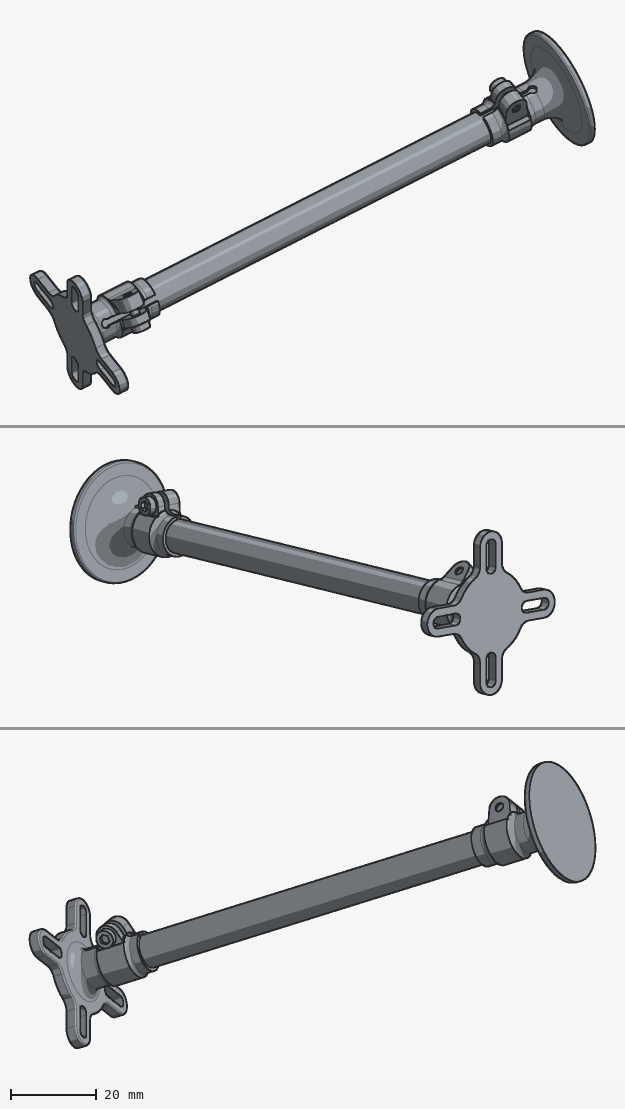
import cadquery as cq
import math

LENGTH = 134.5

TUBE_RADIUS = 4.0
SLEEVE_RADIUS = 4.8
SLIT_HOLE_RADIUS = 1.1
BORE_MARGIN = 0.3

FLANGE_RADIUS = 14.5
FLANGE_THICKNESS = 1.5
FLANGE_ROUND = 0.4
FLANGE_FLARE = 6.3
FLANGE_SLEEVE_END = 22.0
FLANGE_SLIT_START = 8.1
FLANGE_SLIT_WIDTH = 1.2
FLANGE_BAND_CENTER = 14.9
FLANGE_BAND_HALF = 3.1
FLANGE_BAND_RADIUS = 5.6
FLANGE_BAND_BLEND = 1.6
FLANGE_TIP_FACE = 3.9
FLANGE_TIP_FLOOR = 1.9
FLANGE_HEAD_FACE = 2.7

PLATE_SPAN = 39.0
PLATE_THICKNESS = 2.5
PLATE_HUB_RADIUS = 10.2
PLATE_HUB_FILLET = 2.8
PLATE_EDGE_ROUND = 0.4
ARM_WIDTH = 6.7
ARM_COUNT = 4
SLOT_WIDTH = 2.8
SLOT_INNER_END = 9.4
SLOT_OUTER_END = 17.6
PLATE_FLARE = 2.4
PLATE_SLEEVE_END = 20.5
PLATE_SLIT_START = 6.5
PLATE_SLIT_WIDTH = 1.6
PLATE_BAND_CENTER = 13.5
PLATE_BAND_HALF = 3.8
PLATE_BAND_RADIUS = 5.5
PLATE_BAND_BLEND = 1.1
PLATE_TIP_FACE = 4.3
PLATE_TIP_FILLET = 2.7
PLATE_HEAD_FACE = 3.0
PLATE_CLAMP_ANGLE = 45.0

EAR_RADIUS = 2.8
EAR_CENTER = 6.6
EAR_BASE = 2.7
HEAD_FLOOR = 4.3
SCREW_RADIUS = 1.1
SCREW_TIP_RECESS = 0.5
HEAD_RADIUS = 2.2
HEAD_HEIGHT = 1.7
SOCKET_SIDES = 6
SOCKET_FLATS = 2.2
SOCKET_DEPTH = 1.0

EAR_TOP = EAR_CENTER + EAR_RADIUS
MARGIN = 0.1
CLEAR = 2.7
CUT_REACH = FLANGE_BAND_RADIUS + CLEAR

FLANGE_PLACE = cq.Location(cq.Plane(origin=(0, LENGTH, 0), xDir=(1, 0, 0), normal=(0, -1, 0)))
PLATE_PLACE = cq.Location(cq.Plane(origin=(0, 0, 0), xDir=(-1, 0, 1), normal=(0, 1, 0)))


def revolved(profile):
    """Turn a closed XZ profile around the Z axis."""
    return profile.close().revolve(360, (0, 0, 0), (0, 1, 0))


def flared_sleeve(base, flare, end):
    """Solid sleeve whose foot opens in a quarter round onto the mounting plate."""
    mid = flare * (1 - math.sqrt(0.5))
    return revolved(
        cq.Workplane("XZ")
        .lineTo(SLEEVE_RADIUS + flare, 0)
        .lineTo(SLEEVE_RADIUS + flare, base)
        .threePointArc((SLEEVE_RADIUS + mid, base + mid), (SLEEVE_RADIUS, base + flare))
        .lineTo(SLEEVE_RADIUS, end)
        .lineTo(0, end)
    )


def clamp_band(band_radius, center, half, blend):
    """Thicker ring around the sleeve, blended into it by a hollow arc at both ends."""
    rise = band_radius - SLEEVE_RADIUS
    hollow = (blend**2 + rise**2) / (2 * rise)
    return revolved(
        cq.Workplane("XZ")
        .moveTo(0, center - half - blend)
        .lineTo(SLEEVE_RADIUS, center - half - blend)
        .radiusArc((band_radius, center - half), hollow)
        .lineTo(band_radius, center + half)
        .radiusArc((SLEEVE_RADIUS, center + half + blend), hollow)
        .lineTo(0, center + half + blend)
    )


def ears(center, half, head_face, tip_reach):
    """Round-topped block across the slit, its sides tangent to the top and spreading to the band."""
    drop = EAR_CENTER - EAR_BASE
    angle = math.acos(EAR_RADIUS / math.hypot(half, drop)) - math.atan2(drop, half)
    side = EAR_RADIUS * math.cos(angle)
    side_height = EAR_CENTER + EAR_RADIUS * math.sin(angle)
    return (
        cq.Workplane("YZ", origin=(-head_face, 0, center))
        .moveTo(EAR_BASE, -half)
        .lineTo(side_height, -side)
        .threePointArc((EAR_TOP, 0), (side_height, side))
        .lineTo(EAR_BASE, half)
        .close()
        .extrude(head_face + tip_reach)
    )


def ear_seat(side_profile, center, half):
    """Cutter over the band's width, from a profile that runs down an ear face and out sideways."""
    return side_profile.close().extrude(2 * half).translate((0, 0, center - half))


def level_profile(face, floor, side):
    """Upright ear face meeting a level floor, on the +X (side 1) or -X (side -1) half."""
    return (
        cq.Workplane("XY")
        .moveTo(side * CUT_REACH, EAR_TOP + CLEAR)
        .lineTo(side * face, EAR_TOP + CLEAR)
        .lineTo(side * face, floor)
        .lineTo(side * CUT_REACH, floor)
    )


def fillet_foot(face, fillet, band_radius):
    """Point where a fillet tangent to the ear face touches the band."""
    center_x = face + fillet
    center_y = math.sqrt((band_radius + fillet) ** 2 - center_x**2)
    share = band_radius / (band_radius + fillet)
    return center_x * share, center_y * share


def blended_profile(face, fillet, band_radius):
    """Upright ear face on the +X half that runs in a fillet onto the band."""
    foot_x, foot_y = fillet_foot(face, fillet, band_radius)
    fillet_top = foot_y * (band_radius + fillet) / band_radius
    return (
        cq.Workplane("XY")
        .moveTo(CUT_REACH, EAR_TOP + CLEAR)
        .lineTo(face, EAR_TOP + CLEAR)
        .lineTo(face, fillet_top)
        .radiusArc((foot_x, foot_y), -fillet)
        .lineTo(CUT_REACH, foot_y)
    )


def bore_start(slit_start):
    """Height of the bore floor, just below the round end of the slit."""
    return slit_start - SLIT_HOLE_RADIUS - BORE_MARGIN


def clamp_openings(slit_start, slit_width, end, screw_height):
    """Tube bore, slit with its round end, and the screw hole through both ears."""
    start = bore_start(slit_start)
    bore = cq.Workplane("XY", origin=(0, 0, start)).circle(TUBE_RADIUS).extrude(end - start)
    slit = cq.Workplane("XY").box(
        slit_width, EAR_TOP + CLEAR, end - slit_start, centered=(True, False, False)
    ).translate((0, 0, slit_start))
    slit_end = (
        cq.Workplane("XZ", origin=(0, 0, slit_start)).circle(SLIT_HOLE_RADIUS).extrude(-EAR_TOP)
    )
    screw_hole = (
        cq.Workplane("YZ", origin=(0, EAR_CENTER, screw_height))
        .circle(SCREW_RADIUS)
        .extrude(CUT_REACH, both=True)
    )
    return bore.union(slit).union(slit_end).union(screw_hole)


def wall_flange():
    disc = (
        cq.Workplane("XY")
        .circle(FLANGE_RADIUS)
        .extrude(FLANGE_THICKNESS)
        .edges(">Z")
        .fillet(FLANGE_ROUND)
    )
    center = FLANGE_BAND_CENTER
    half = FLANGE_BAND_HALF
    return (
        disc.union(flared_sleeve(FLANGE_THICKNESS, FLANGE_FLARE, FLANGE_SLEEVE_END))
        .union(clamp_band(FLANGE_BAND_RADIUS, center, half, FLANGE_BAND_BLEND))
        .union(ears(center, half, FLANGE_HEAD_FACE, FLANGE_TIP_FACE))
        .cut(ear_seat(level_profile(FLANGE_TIP_FACE, FLANGE_TIP_FLOOR, 1), center, half))
        .cut(ear_seat(level_profile(FLANGE_HEAD_FACE, HEAD_FLOOR, -1), center, half))
        .cut(clamp_openings(FLANGE_SLIT_START, FLANGE_SLIT_WIDTH, FLANGE_SLEEVE_END, center))
    )


def cross_outline():
    """Hub with four round-ended arms, filleted where the arms leave the hub."""
    plate = cq.Workplane("XY").circle(PLATE_HUB_RADIUS).extrude(PLATE_THICKNESS)
    for turn in (0, 360 / ARM_COUNT):
        bar = cq.Workplane("XY").slot2D(PLATE_SPAN, ARM_WIDTH, turn).extrude(PLATE_THICKNESS)
        plate = plate.union(bar)
    corner_x = ARM_WIDTH / 2
    corner_y = math.sqrt(PLATE_HUB_RADIUS**2 - corner_x**2)
    corners = cq.selectors.BoxSelector(
        (-corner_y - MARGIN, -corner_y - MARGIN, 0),
        (corner_y + MARGIN, corner_y + MARGIN, PLATE_THICKNESS),
    )
    return plate.edges("|Z").edges(corners).fillet(PLATE_HUB_FILLET)


def cross_plate():
    plate = cross_outline().faces(">Z").edges().fillet(PLATE_EDGE_ROUND)
    slots = (
        cq.Workplane("XY")
        .polarArray((SLOT_INNER_END + SLOT_OUTER_END) / 2, 0, 360, ARM_COUNT)
        .slot2D(SLOT_OUTER_END - SLOT_INNER_END, SLOT_WIDTH)
        .extrude(PLATE_THICKNESS)
    )
    plate = plate.cut(slots).rotate((0, 0, 0), (0, 0, 1), PLATE_CLAMP_ANGLE)
    center = PLATE_BAND_CENTER
    half = PLATE_BAND_HALF
    tip_blend = (PLATE_TIP_FACE, PLATE_TIP_FILLET, PLATE_BAND_RADIUS)
    foot_x, _ = fillet_foot(*tip_blend)
    return (
        plate.union(flared_sleeve(PLATE_THICKNESS, PLATE_FLARE, PLATE_SLEEVE_END))
        .union(clamp_band(PLATE_BAND_RADIUS, center, half, PLATE_BAND_BLEND))
        .union(ears(center, half, PLATE_HEAD_FACE, foot_x))
        .cut(ear_seat(blended_profile(*tip_blend), center, half))
        .cut(ear_seat(level_profile(PLATE_HEAD_FACE, HEAD_FLOOR, -1), center, half))
        .cut(clamp_openings(PLATE_SLIT_START, PLATE_SLIT_WIDTH, PLATE_SLEEVE_END, center))
    )


def clamp_screw(head_face, tip_face, height):
    """Socket screw seated on one ear, its tip just short of the other ear's outer face."""
    seat = cq.Workplane("YZ", origin=(-head_face, EAR_CENTER, height))
    shank = seat.circle(SCREW_RADIUS).extrude(head_face + tip_face - SCREW_TIP_RECESS)
    head = seat.circle(HEAD_RADIUS).extrude(-HEAD_HEIGHT)
    socket = (
        seat.workplane(offset=-HEAD_HEIGHT)
        .transformed(rotate=(0, 0, 180 / SOCKET_SIDES))
        .polygon(SOCKET_SIDES, SOCKET_FLATS, circumscribed=True)
        .extrude(SOCKET_DEPTH)
    )
    return shank.union(head).cut(socket)


def tube():
    start = bore_start(PLATE_SLIT_START)
    end = LENGTH - bore_start(FLANGE_SLIT_START)
    return cq.Workplane("XZ", origin=(0, start, 0)).circle(TUBE_RADIUS).extrude(start - end)


flange_mount = wall_flange().val().moved(FLANGE_PLACE)
plate_mount = cross_plate().val().moved(PLATE_PLACE)
arm_tube = tube().val()
screws = [
    clamp_screw(head_face, tip_face, height).val().moved(place)
    for head_face, tip_face, height, place in (
        (FLANGE_HEAD_FACE, FLANGE_TIP_FACE, FLANGE_BAND_CENTER, FLANGE_PLACE),
        (PLATE_HEAD_FACE, PLATE_TIP_FACE, PLATE_BAND_CENTER, PLATE_PLACE),
    )
]

result = cq.Compound.makeCompound([flange_mount, plate_mount, arm_tube, *screws])